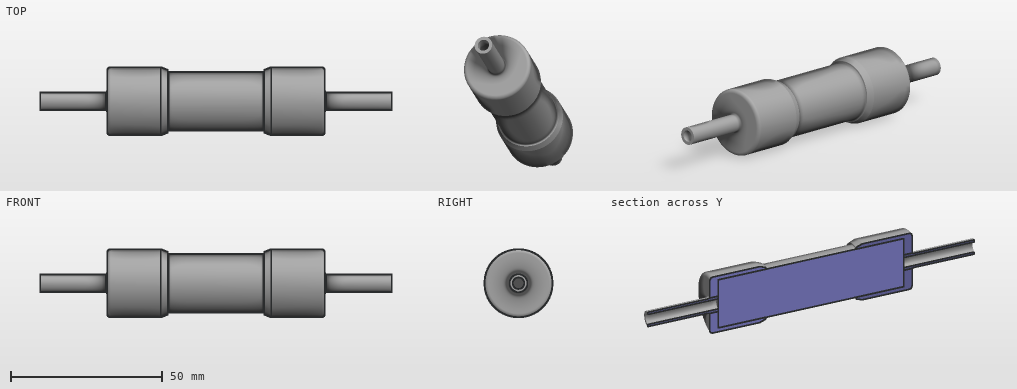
import cadquery as cq
import math

overall_length = 115.93
caps_length = 71.8
cap_gap = 31.8

rod_radius = 9.7

cap_radius = 11.25
cap_edge_round = 1.2
cap_lip_radius = 10.35
cap_lip_length = 2.3
cap_wall = 3.0
rod_joint_fillet = 0.3
tube_joint_fillet = 0.5

tube_radius = 2.95
tube_bore_radius = 1.9

tube_end = overall_length / 2
cap_outer_face = caps_length / 2
cap_inner_face = cap_gap / 2
rod_end = cap_outer_face - cap_wall


def arc_inset(radius):
    """Offset, along each side of a right-angled corner, to the middle of a quarter arc in it."""
    return radius * (1 - math.sqrt(0.5))


def make_rod():
    return cq.Workplane("YZ", origin=(-rod_end, 0, 0)).circle(rod_radius).extrude(2 * rod_end)


def make_cap():
    """Cap at the +X end: a cup that holds the rod and lets the tube through its wall."""
    rod_bead_inset = arc_inset(rod_joint_fillet)
    edge_inset = arc_inset(cap_edge_round)
    tube_bead_inset = arc_inset(tube_joint_fillet)
    profile = (
        cq.Workplane("XY")
        .moveTo(rod_end, tube_radius)
        .lineTo(rod_end, rod_radius)
        .lineTo(cap_inner_face - rod_joint_fillet, rod_radius)
        .threePointArc(
            (cap_inner_face - rod_bead_inset, rod_radius + rod_bead_inset),
            (cap_inner_face, rod_radius + rod_joint_fillet),
        )
        .lineTo(cap_inner_face, cap_lip_radius)
        .lineTo(cap_inner_face + cap_lip_length, cap_radius)
        .lineTo(cap_outer_face - cap_edge_round, cap_radius)
        .threePointArc(
            (cap_outer_face - edge_inset, cap_radius - edge_inset),
            (cap_outer_face, cap_radius - cap_edge_round),
        )
        .lineTo(cap_outer_face, tube_radius + tube_joint_fillet)
        .threePointArc(
            (cap_outer_face + tube_bead_inset, tube_radius + tube_bead_inset),
            (cap_outer_face + tube_joint_fillet, tube_radius),
        )
        .close()
    )
    return profile.revolve(360, (0, 0, 0), (1, 0, 0))


def make_tube():
    """Tube at the +X end, running from the rod's end face out through the cap."""
    section = cq.Workplane("YZ", origin=(rod_end, 0, 0)).circle(tube_radius).circle(tube_bore_radius)
    return section.extrude(tube_end - rod_end)


bodies = [make_rod().val()]
for end_angle in (0, 180):
    for make_end_body in (make_cap, make_tube):
        bodies.append(make_end_body().rotate((0, 0, 0), (0, 0, 1), end_angle).val())

result = cq.Compound.makeCompound(bodies)